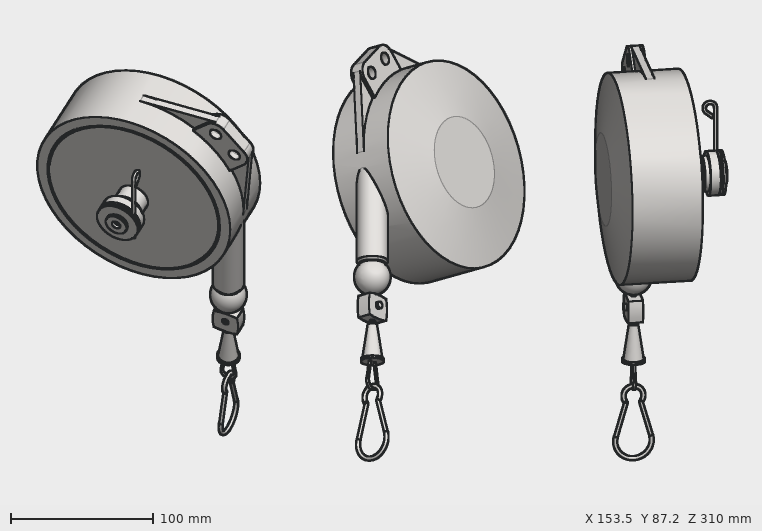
import cadquery as cq
import math


drum_radius = 74.7
drum_depth = 50.2
mid_depth = drum_depth / 2
dome_height = 7.5
dome_flat_radius = 33.0
groove_outer_radius = 66.5
groove_width = 1.2
groove_depth = 1.2

stem_radius = 11.2
stem_length = 12.0
collar_radius = 12.7
collar_chamfer = 1.0
collar_end = 16.5
flange_radius = 15.8
flange_end = 23.2
neck_radius = 11.5
neck_end = 25.5
disc_end = 27.3
nub_radius = 8.0
hub_length = 29.5
centre_hole_radius = 3.0
centre_hole_depth = 3.0

pin_x = 11.2
pin_radius = 1.2
pin_forward = (flange_end + neck_end) / 2
pin_bottom = -12.5
eye_radius = 4.0
eye_top = 50.0
eye_tail_drop = 6.8
tail_gap = 2.0

lug_tilt = 45
lug_hole_distance = 86.8
lug_hole_offset = 10.2
lug_hole_radius = 4.3
lug_corner_radius = 9.0
lug_corner_distance = 87.5
lug_corner_offset = 11.2
lug_thickness = 10.5
web_thickness = 6.2

rope_x = 61.7
rope_radius = 1.5
rope_bead_radius = 2.63
rope_bead_height = 1.2
tube_radius = 11.2
tube_bottom = -83.0
tube_lip_radius = 9.3
tube_lip_bottom = -85.0
ball_radius = 13.0
ball_z = -94.8
block_z = -118.0
block_corner_width = 18.0
block_corner_height = 16.0
block_bulge = 1.0
block_thickness = 10.5
screw_z = -117.2
screw_radius = 2.5
screw_protrusion = 2.0
screw_recess = 2.0
cone_top = -130.2
cone_bottom = -156.0
cone_top_radius = 3.5
cone_bottom_radius = 7.28
cone_rim_radius = 8.0
cone_rim_bottom = -157.8

loop_arc_radius = 5.1
loop_arc_z = -172.5
loop_arc_wire = 1.1
loop_leg_wire = 1.0
loop_leg_length = 15.0
loop_leg_tilt = 10

hook_bottom = -231.2
hook_arc_radius = 13.0
hook_arc_wire = 1.5
hook_arc_z = hook_bottom + hook_arc_wire + hook_arc_radius
hook_leg_wire = 1.4
hook_leg_length = 26.5
hook_leg_tilt = 16
hook_eye_radius = 7.0
hook_eye_z = -183.2
hook_eye_end_angle = 35


def polar(radius, angle):
    """Point at an angle in degrees on a circle about the origin."""
    turn = math.radians(angle)
    return radius * math.cos(turn), radius * math.sin(turn)


def rod(plane, start, end, radius):
    """Round bar between two points given in the plane."""
    start_point = plane.toWorldCoords(start)
    axis = plane.toWorldCoords(end) - start_point
    return cq.Workplane(obj=cq.Solid.makeCylinder(radius, axis.Length, start_point, axis))


def wire_arc(plane, arc_radius, start_angle, end_angle, wire_radius):
    """Round wire bent along an arc about the origin of the plane."""
    start = polar(arc_radius, start_angle)
    middle = polar(arc_radius, (start_angle + end_angle) / 2)
    path = cq.Workplane(plane).moveTo(*start).threePointArc(middle, polar(arc_radius, end_angle))
    along = polar(3, start_angle + 90)
    direction = plane.toWorldCoords(along) - plane.origin
    section = cq.Plane(plane.toWorldCoords(start), plane.zDir, direction)
    return cq.Workplane(section).circle(wire_radius).sweep(path)


def teardrop(plane, arc_radius, arc_wire, leg_wire, leg_length, leg_tilt):
    """Lower wire arc with two straight legs leaning towards each other."""
    body = wire_arc(plane, arc_radius, 180 - leg_tilt, 360 + leg_tilt, arc_wire)
    foot_x, foot_z = polar(arc_radius, leg_tilt)
    rise_x, rise_z = polar(leg_length, 90 + leg_tilt)
    for side in (-1, 1):
        foot = (side * foot_x, foot_z)
        top = (side * (foot_x + rise_x), foot_z + rise_z)
        body = body.union(rod(plane, foot, top, leg_wire))
    return body


def upright_plane(x, y, z, facing):
    """Plane with local y along +Z and the given normal."""
    normal = cq.Vector(*facing)
    return cq.Plane((x, y, z), cq.Vector(0, 0, 1).cross(normal), normal)


def build_drum():
    """Drum, dome and hub turned as one profile of radius against y."""
    profile = (
        cq.Workplane("XY")
        .moveTo(0, drum_depth + dome_height)
        .lineTo(dome_flat_radius, drum_depth + dome_height)
        .lineTo(drum_radius, drum_depth)
        .lineTo(drum_radius, 0)
        .lineTo(stem_radius, 0)
        .lineTo(stem_radius, -stem_length)
        .lineTo(collar_radius - collar_chamfer, -stem_length)
        .lineTo(collar_radius, -stem_length - collar_chamfer)
        .lineTo(collar_radius, -collar_end)
        .lineTo(flange_radius, -collar_end)
        .lineTo(flange_radius, -flange_end)
        .lineTo(neck_radius, -flange_end)
        .lineTo(neck_radius, -neck_end)
        .lineTo(flange_radius, -neck_end)
        .lineTo(flange_radius, -disc_end)
        .lineTo(nub_radius, -disc_end)
        .lineTo(nub_radius, -hub_length)
        .lineTo(0, -hub_length)
        .close()
    )
    body = profile.revolve(360, (0, 0, 0), (0, 1, 0))
    groove = (
        cq.Workplane("XZ")
        .circle(groove_outer_radius)
        .circle(groove_outer_radius - groove_width)
        .extrude(-groove_depth)
    )
    centre_hole = (
        cq.Workplane("XZ", origin=(0, -hub_length, 0))
        .circle(centre_hole_radius)
        .extrude(-centre_hole_depth)
    )
    return body.cut(groove).cut(centre_hole)


def build_cotter_pin():
    """Straight pin with an eye curled back towards the drum."""
    eye_z = eye_top - pin_radius - eye_radius
    eye_plane = upright_plane(pin_x, eye_radius - pin_forward, eye_z, (-1, 0, 0))
    tail_end = (eye_radius - tail_gap, -eye_tail_drop)
    end_direction = math.degrees(math.atan2(tail_end[1], tail_end[0]))
    half_spread = math.degrees(math.acos(eye_radius / math.hypot(*tail_end)))
    curl_end = 360 + end_direction - half_spread
    path = (
        cq.Workplane(eye_plane)
        .moveTo(eye_radius, pin_bottom - eye_z)
        .lineTo(eye_radius, 0)
        .threePointArc(polar(eye_radius, curl_end / 2), polar(eye_radius, curl_end))
        .lineTo(*tail_end)
    )
    section = cq.Workplane("XY", origin=(pin_x, -pin_forward, pin_bottom))
    return section.circle(pin_radius).sweep(path)


def build_lug():
    """Thick drilled lug with thin webs running tangentially onto the drum."""
    out_x, out_z = polar(1, lug_tilt)
    plane = cq.Plane((0, mid_depth, 0), (out_x, 0, out_z), (0, -1, 0))
    hole_points = [(lug_hole_distance, side * lug_hole_offset) for side in (-1, 1)]

    half_width = lug_corner_offset + lug_corner_radius
    lug_end = lug_corner_distance + lug_corner_radius
    lug = (
        cq.Workplane(plane)
        .center(lug_end / 2, 0)
        .rect(lug_end, 2 * half_width)
        .extrude(lug_thickness / 2, both=True)
        .edges("|Y and (>X or >Z)")
        .fillet(lug_corner_radius)
    )

    corner_reach = math.hypot(lug_corner_distance, lug_corner_offset)
    corner_angle = math.degrees(math.atan2(lug_corner_offset, lug_corner_distance))
    spread = math.degrees(math.acos((drum_radius - lug_corner_radius) / corner_reach))
    tangent_angle = corner_angle + spread
    drum_x, drum_y = polar(drum_radius, tangent_angle)
    tip_x, tip_y = polar(lug_corner_radius, tangent_angle)
    tip_x += lug_corner_distance
    tip_y += lug_corner_offset
    web = (
        cq.Workplane(plane)
        .polyline([(0, 0), (drum_x, -drum_y), (tip_x, -tip_y), (tip_x, tip_y), (drum_x, drum_y)])
        .close()
        .extrude(web_thickness / 2, both=True)
    )
    holes = (
        cq.Workplane(plane)
        .pushPoints(hole_points)
        .circle(lug_hole_radius)
        .extrude(lug_thickness, both=True)
    )
    return lug.union(web).cut(holes)


def build_rope_line():
    """Outlet tube, ball, rope and cone turned about the rope axis."""
    half_block = block_corner_height / 2 + block_bulge
    ball_bottom = ball_z - ball_radius
    lip_ball_z = ball_z + math.sqrt(ball_radius**2 - tube_lip_radius**2)
    bead_join_z = ball_z - math.sqrt(ball_radius**2 - rope_bead_radius**2)
    profile = (
        cq.Workplane("XZ", origin=(rope_x, mid_depth, 0))
        .lineTo(tube_radius, 0)
        .lineTo(tube_radius, tube_bottom)
        .lineTo(tube_lip_radius, tube_lip_bottom)
        .lineTo(tube_lip_radius, lip_ball_z)
        .threePointArc((ball_radius, ball_z), (rope_bead_radius, bead_join_z))
        .lineTo(rope_radius, ball_bottom - rope_bead_height)
        .lineTo(rope_radius, block_z - half_block)
        .lineTo(rope_bead_radius, cone_top + rope_bead_height)
        .lineTo(rope_bead_radius, cone_top)
        .lineTo(cone_top_radius, cone_top)
        .lineTo(cone_bottom_radius, cone_bottom)
        .lineTo(cone_rim_radius, cone_bottom)
        .lineTo(cone_rim_radius, cone_rim_bottom)
        .lineTo(0, cone_rim_bottom)
        .close()
    )
    return profile.revolve(360, (0, 0, 0), (0, 1, 0))


def build_clamp_block():
    """Block with four bowed sides and a clamping screw along Y."""
    half_x = block_corner_width / 2
    half_z = block_corner_height / 2
    block = (
        cq.Workplane("XZ", origin=(rope_x, mid_depth, block_z))
        .moveTo(-half_x, -half_z)
        .threePointArc((0, -half_z - block_bulge), (half_x, -half_z))
        .threePointArc((half_x + block_bulge, 0), (half_x, half_z))
        .threePointArc((0, half_z + block_bulge), (-half_x, half_z))
        .threePointArc((-half_x - block_bulge, 0), (-half_x, -half_z))
        .close()
        .extrude(block_thickness / 2, both=True)
    )
    back_y = mid_depth + block_thickness / 2
    front_y = mid_depth - block_thickness / 2
    screw_end = cq.Workplane("XZ", origin=(rope_x, back_y, screw_z)).circle(screw_radius)
    recess = cq.Workplane("XZ", origin=(rope_x, front_y, screw_z)).circle(screw_radius)
    return block.union(screw_end.extrude(-screw_protrusion)).cut(recess.extrude(-screw_recess))


def build_wire_loop():
    """Small teardrop wire whose legs run up into the cone."""
    plane = upright_plane(rope_x, mid_depth, loop_arc_z, (0, -1, 0))
    return teardrop(
        plane, loop_arc_radius, loop_arc_wire, loop_leg_wire, loop_leg_length, loop_leg_tilt
    )


def build_snap_hook():
    """Large teardrop hook, square to the wire loop, closed by a round eye at its top."""
    plane = upright_plane(rope_x, mid_depth, hook_arc_z, (-1, 0, 0))
    body = teardrop(
        plane, hook_arc_radius, hook_arc_wire, hook_leg_wire, hook_leg_length, hook_leg_tilt
    )
    eye_plane = upright_plane(rope_x, mid_depth, hook_eye_z, (-1, 0, 0))
    eye = wire_arc(
        eye_plane, hook_eye_radius, -hook_eye_end_angle, 180 + hook_eye_end_angle, hook_arc_wire
    )
    return body.union(eye)


result = (
    build_drum()
    .union(build_cotter_pin())
    .union(build_lug())
    .union(build_rope_line())
    .union(build_clamp_block())
    .union(build_wire_loop())
    .union(build_snap_hook())
)